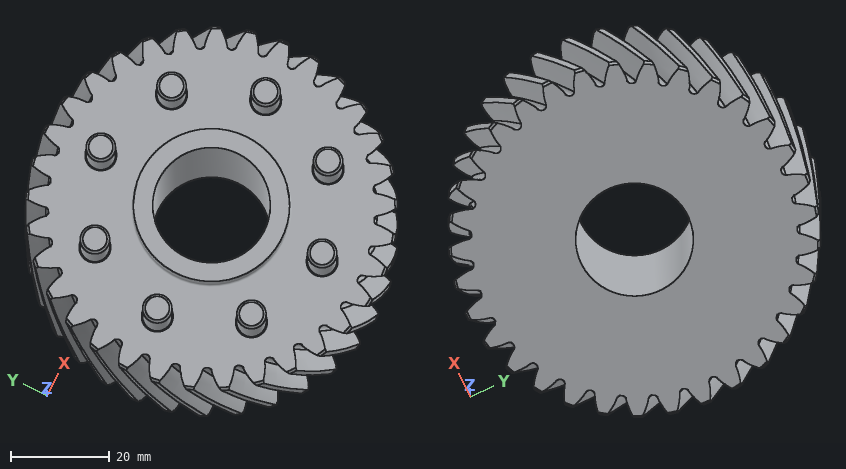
import cadquery as cq
import math

tip_diameter = 75.6
face_width = 26.0
bore_diameter = 23.9
tip_chamfer = 0.5

tooth_count = 33
pressure_angle = math.radians(23.5)
tooth_twist = -15.6
flank_points = 6

addendum = 2.0
tip_radius = tip_diameter / 2
pitch_radius = tip_radius - addendum
untrimmed_radius = tip_radius + 0.4
root_radius = 33.1
base_radius = pitch_radius * math.cos(pressure_angle)
flank_start_radius = 33.65
pitch_angle = 2 * math.pi / tooth_count
top_tooth_angle = math.pi / 2

hub_diameter = 31.75
hub_height = 3.0
hub_base_fillet = 0.45

pin_count = 8
pin_diameter = 6.0
pin_protrusion = 8.0
pin_seat_depth = pin_protrusion
pin_chamfer = 0.5
pin_circle_radius = 25.0
countersink = 0.2


def polar_point(radius, angle):
    return (radius * math.cos(angle), radius * math.sin(angle))


def involute_angle(radius):
    """Polar angle swept by the involute from the base circle out to radius."""
    roll = math.acos(base_radius / radius)
    return math.tan(roll) - roll


def half_tooth_angle(radius):
    """Half of the angle that a tooth spans at the given radius."""
    return pitch_angle / 4 + involute_angle(pitch_radius) - involute_angle(radius)


def tooth_outline():
    """Closed outline of all the teeth, with one tooth centred on +X."""
    radius_step = (untrimmed_radius - flank_start_radius) / (flank_points - 1)
    radii = [flank_start_radius + i * radius_step for i in range(flank_points)]
    outline = cq.Workplane("XY").moveTo(*polar_point(radii[0], -half_tooth_angle(radii[0])))
    for tooth in range(tooth_count):
        centre = tooth * pitch_angle
        rising = [polar_point(r, centre - half_tooth_angle(r)) for r in radii]
        falling = [polar_point(r, centre + half_tooth_angle(r)) for r in reversed(radii)]
        next_flank = centre + pitch_angle - half_tooth_angle(flank_start_radius)
        outline = (
            outline.spline(rising[1:], includeCurrent=True)
            .threePointArc(polar_point(untrimmed_radius, centre), falling[0])
            .spline(falling[1:], includeCurrent=True)
            .threePointArc(
                polar_point(root_radius, centre + pitch_angle / 2),
                polar_point(flank_start_radius, next_flank),
            )
        )
    return outline.close()


def make_toothed_ring():
    """Twisted teeth, with both ends of every tooth tip chamfered."""
    teeth = tooth_outline().twistExtrude(face_width, tooth_twist)
    bottom_tooth_angle = math.degrees(top_tooth_angle) - tooth_twist
    teeth = teeth.rotate((0, 0, 0), (0, 0, 1), bottom_tooth_angle)
    blank = cq.Workplane("XY").circle(tip_radius).extrude(face_width)
    return teeth.intersect(blank.faces("<Z or >Z").chamfer(tip_chamfer))


def make_hub():
    """Raised collar that widens in a small fillet where it meets the gear face."""
    hub_radius = hub_diameter / 2
    top = face_width + hub_height
    return (
        cq.Workplane("XZ")
        .moveTo(0, face_width)
        .lineTo(hub_radius + hub_base_fillet, face_width)
        .radiusArc((hub_radius, face_width + hub_base_fillet), hub_base_fillet)
        .lineTo(hub_radius, top)
        .lineTo(0, top)
        .close()
        .revolve(360, (0, 0, 0), (0, 1, 0))
    )


def pin_centres():
    angles = [2 * math.pi * i / pin_count for i in range(pin_count)]
    return [polar_point(pin_circle_radius, angle) for angle in angles]


def make_gear():
    gear = make_toothed_ring().union(make_hub())
    gear = gear.cut(cq.Workplane("XY").circle(bore_diameter / 2).extrude(face_width + hub_height))
    pin_holes = (
        cq.Workplane("XY", origin=(0, 0, face_width))
        .pushPoints(pin_centres())
        .circle(pin_diameter / 2)
        .extrude(-pin_seat_depth)
    )
    countersinks = (
        cq.Workplane("XY", origin=(0, 0, face_width))
        .pushPoints(pin_centres())
        .circle(pin_diameter / 2 + countersink)
        .extrude(-countersink, taper=45)
    )
    return gear.cut(pin_holes).cut(countersinks)


def make_pin(centre):
    return (
        cq.Workplane("XY", origin=(0, 0, face_width - pin_seat_depth))
        .center(*centre)
        .circle(pin_diameter / 2)
        .extrude(pin_seat_depth + pin_protrusion)
        .faces(">Z")
        .chamfer(pin_chamfer)
    )


gear = make_gear()
pins = [make_pin(centre) for centre in pin_centres()]

result = cq.Compound.makeCompound([gear.val(), *[pin.val() for pin in pins]])